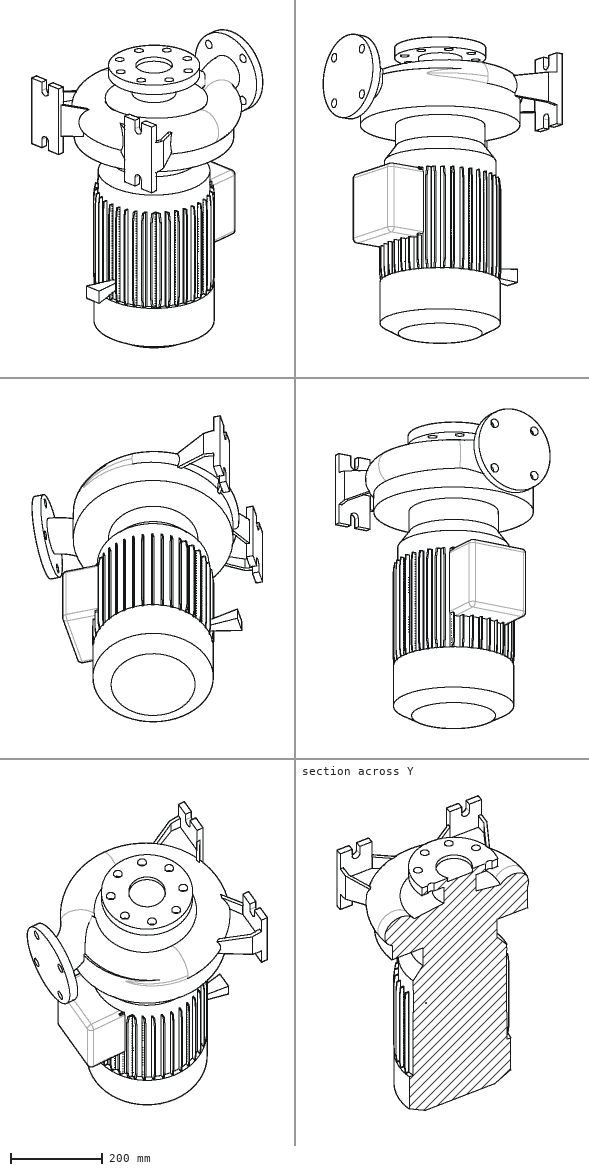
import cadquery as cq
import math


SUCTION_FACE_Z = 100.0
DISCHARGE_FACE_Y = 250.0
FOOT_FACE_Y = -200.0
MOTOR_BOTTOM_Z = -544.0

SUCTION_FLANGE_D = 200.0
SUCTION_FLANGE_T = 23.0
SUCTION_BOLT_CIRCLE_D = 160.0
SUCTION_BOLT_COUNT = 8
SUCTION_BORE_D = 80.0
SUCTION_BORE_DEPTH = 10.0
SUCTION_NECK_R = 48.0
BOLT_HOLE_D = 19.0

DISCHARGE_FLANGE_D = 185.0
DISCHARGE_FLANGE_T = 20.0
DISCHARGE_BOLT_CIRCLE_D = 145.0
DISCHARGE_BOLT_COUNT = 4

CASING_R = 175.0
CASING_BOTTOM_Z = -74.5
CASING_RIM_Z = 11.0
CONE_TOP_Z = 32.0

TUBE_R = 40.0
VOLUTE_CENTRE_X = 8.0
VOLUTE_R = 146.0
VOLUTE_END_ANGLE = 64.5

SPIRAL_START_ANGLE = 180.0
SPIRAL_END_ANGLE = 66.0
SPIRAL_END_TUBE_R = 32.5
SPIRAL_SECTIONS = 6

LANTERN_R = 98.0
LANTERN_BOTTOM_Z = -124.0
MOTOR_CORE_R = 122.5
SHOULDER_Z = -157.0
FIN_TOP_Z = -198.5
FIN_BOTTOM_Z = -428.5
FIN_R = 133.0
FIN_END_R = 130.5
FIN_TAPER_LENGTH = 23.0
FINS_PER_GROUP = 10
FIN_PITCH_ANGLE = 10.0
FIN_T = 2.5
COWL_R = 132.0
COWL_CHAMFER_R = 92.0
COWL_CHAMFER_Z = -521.5

BOX_HALF_WIDTH = 72.5
BOX_FACE_Y = 188.0
BOX_BOTTOM_Z = -354.0
BOX_INNER_Y = 90.0
BOX_EDGE_R = 10.0

LEVER_Z = -389.5
LEVER_TIP_Y = -196.0
LEVER_ROOT_Y = -118.0
LEVER_TIP_SIZE = (38.0, 30.0)
LEVER_ROOT_SIZE = (14.0, 15.5)

FOOT_PLATE_T = 15.0
FOOT_INNER_X = 99.0
FOOT_OUTER_X = 180.0
FOOT_HALF_HEIGHT = 80.0
FOOT_SLOT_W = 19.0
FOOT_SLOT_DEPTH = 30.0
BRACKET_HALF_HEIGHT = 37.0
BRACKET_TAPER = 0.16
BRACKET_BEND_Y = -162.0
BRACKET_OUTER_END = (144.5, -90.0)
BRACKET_INNER_START_Y = -192.0
BRACKET_INNER_END = (40.0, -156.0)
BRACKET_WALL_T = 8.0
BRACKET_WEB_T = 8.0


def polar(radius, angle):
    """Point at a radius and an angle in degrees."""
    return radius * math.cos(math.radians(angle)), radius * math.sin(math.radians(angle))


def revolve_profile(points):
    """Turn an (r, z) outline about the shaft axis."""
    return cq.Workplane("XZ").polyline(points).close().revolve(360, (0, 0, 0), (0, 1, 0))


def make_body():
    """Suction neck, casing disc, lantern, motor core and fan cowl as one turned body."""
    neck_top_z = SUCTION_FACE_Z - SUCTION_FLANGE_T
    return revolve_profile([
        (0, neck_top_z),
        (SUCTION_NECK_R, neck_top_z),
        (SUCTION_NECK_R, CONE_TOP_Z),
        (CASING_R, CASING_RIM_Z),
        (CASING_R, CASING_BOTTOM_Z),
        (LANTERN_R, CASING_BOTTOM_Z),
        (LANTERN_R, LANTERN_BOTTOM_Z),
        (MOTOR_CORE_R, SHOULDER_Z),
        (MOTOR_CORE_R, FIN_BOTTOM_Z),
        (COWL_R, FIN_BOTTOM_Z),
        (COWL_R, COWL_CHAMFER_Z),
        (COWL_CHAMFER_R, MOTOR_BOTTOM_Z),
        (0, MOTOR_BOTTOM_Z),
    ])


def make_flange(diameter, thickness, bolt_circle_d, bolt_count):
    """Flange with its face at z = 0; the bolt holes straddle the axes."""
    first_angle = 180.0 / bolt_count
    return (
        cq.Workplane("XY")
        .circle(diameter / 2)
        .extrude(-thickness)
        .faces(">Z").workplane(origin=(0, 0, 0))
        .polarArray(bolt_circle_d / 2, first_angle, 360, bolt_count)
        .hole(BOLT_HOLE_D)
    )


def make_suction_flange():
    flange = make_flange(SUCTION_FLANGE_D, SUCTION_FLANGE_T, SUCTION_BOLT_CIRCLE_D, SUCTION_BOLT_COUNT)
    bore = cq.Workplane("XY").circle(SUCTION_BORE_D / 2).extrude(-SUCTION_BORE_DEPTH)
    return flange.cut(bore).translate((0, 0, SUCTION_FACE_Z))


def make_discharge_flange():
    flange = make_flange(
        DISCHARGE_FLANGE_D, DISCHARGE_FLANGE_T, DISCHARGE_BOLT_CIRCLE_D, DISCHARGE_BOLT_COUNT
    )
    return flange.rotate((0, 0, 0), (1, 0, 0), -90).translate((0, DISCHARGE_FACE_Y, 0))


def make_volute():
    """Constant tube: half turn and more about the shaft, then a reverse bend to the discharge."""
    def on_volute(angle):
        x, y = polar(VOLUTE_R, angle)
        return VOLUTE_CENTRE_X + x, y

    bend_start = on_volute(VOLUTE_END_ANGLE)
    outward = polar(1.0, VOLUTE_END_ANGLE)
    bend_r = bend_start[0] / (1 - outward[0])
    bend_centre = (bend_r, bend_start[1] + bend_r * outward[1])
    bend_mid_x, bend_mid_y = polar(bend_r, 180 + VOLUTE_END_ANGLE / 2)
    bend_mid = (bend_centre[0] + bend_mid_x, bend_centre[1] + bend_mid_y)
    bend_end = (0, bend_centre[1])

    start = on_volute(180)
    path = (
        cq.Workplane("XY")
        .moveTo(*start)
        .threePointArc(on_volute(270), on_volute(360))
        .threePointArc(on_volute(VOLUTE_END_ANGLE / 2), bend_start)
        .threePointArc(bend_mid, bend_end)
    )
    tube = cq.Workplane("XZ", origin=(start[0], start[1], 0)).circle(TUBE_R).sweep(path)
    beyond_flange = cq.Workplane("XY").box(
        2 * CASING_R, CASING_R, 2 * CASING_R, centered=(True, False, True)
    ).translate((0, DISCHARGE_FACE_Y - DISCHARGE_FLANGE_T / 2, 0))
    return tube.cut(beyond_flange)


def make_spiral_start():
    """Tube that narrows from the volute section and dies out under the discharge bend."""
    centre_r = VOLUTE_R - VOLUTE_CENTRE_X
    sections = []
    for index in range(SPIRAL_SECTIONS):
        fraction = index / (SPIRAL_SECTIONS - 1)
        angle = SPIRAL_START_ANGLE + fraction * (SPIRAL_END_ANGLE - SPIRAL_START_ANGLE)
        tube_r = TUBE_R + fraction * (SPIRAL_END_TUBE_R - TUBE_R)
        centre = cq.Vector(*polar(centre_r, angle), 0)
        direction = cq.Vector(*polar(1.0, angle - 90), 0)
        sections.append(cq.Wire.makeCircle(tube_r, centre, direction))
    return cq.Workplane(cq.Solid.makeLoft(sections))


def make_fins():
    """Cooling fins in four groups, each group parallel to one of the +/-X and +/-Y directions."""
    envelope = revolve_profile([
        (0, FIN_TOP_Z),
        (FIN_END_R, FIN_TOP_Z),
        (FIN_R, FIN_TOP_Z - FIN_TAPER_LENGTH),
        (FIN_R, FIN_BOTTOM_Z + FIN_TAPER_LENGTH),
        (FIN_END_R, FIN_BOTTOM_Z),
        (0, FIN_BOTTOM_Z),
    ])
    half_group = FINS_PER_GROUP / 2
    offsets = [
        polar(MOTOR_CORE_R, (index + 0.5 - half_group) * FIN_PITCH_ANGLE)[1]
        for index in range(FINS_PER_GROUP)
    ]
    root_x = math.sqrt(MOTOR_CORE_R ** 2 - max(offsets) ** 2) - 2 * FIN_T
    slabs = (
        cq.Workplane("XY", origin=((root_x + FIN_R) / 2, 0, FIN_BOTTOM_Z))
        .pushPoints([(0, offset) for offset in offsets])
        .rect(FIN_R - root_x, FIN_T)
        .extrude(FIN_TOP_Z - FIN_BOTTOM_Z)
    )
    group = slabs.intersect(envelope)
    return [group.rotate((0, 0, 0), (0, 0, 1), 90 * quarter) for quarter in range(4)]


def make_terminal_box():
    return (
        cq.Workplane("XY")
        .box(
            2 * BOX_HALF_WIDTH,
            BOX_FACE_Y - BOX_INNER_Y,
            FIN_TOP_Z - BOX_BOTTOM_Z,
            centered=(True, False, False),
        )
        .translate((0, BOX_INNER_Y, BOX_BOTTOM_Z))
        .edges("|Y or >Y").fillet(BOX_EDGE_R)
    )


def make_lever():
    """Wedge that widens towards its outer end."""
    return (
        cq.Workplane("XZ", origin=(0, LEVER_ROOT_Y, LEVER_Z))
        .rect(*LEVER_ROOT_SIZE)
        .workplane(offset=LEVER_ROOT_Y - LEVER_TIP_Y)
        .rect(*LEVER_TIP_SIZE)
        .loft()
    )


def make_foot_plate():
    """Upright plate with an open slot at the top and at the bottom."""
    plate_back_y = FOOT_FACE_Y + FOOT_PLATE_T
    mid_x = (FOOT_INNER_X + FOOT_OUTER_X) / 2
    plate = (
        cq.Workplane("XZ", origin=(mid_x, plate_back_y, 0))
        .rect(FOOT_OUTER_X - FOOT_INNER_X, 2 * FOOT_HALF_HEIGHT)
        .extrude(FOOT_PLATE_T)
    )
    slots = (
        cq.Workplane("XZ", origin=(mid_x, plate_back_y, 0))
        .pushPoints([(0, FOOT_HALF_HEIGHT), (0, -FOOT_HALF_HEIGHT)])
        .slot2D(2 * FOOT_SLOT_DEPTH, FOOT_SLOT_W, 90)
        .extrude(FOOT_PLATE_T)
    )
    return plate.cut(slots)


def make_bracket():
    """Two splayed walls joined by a mid-height web, getting lower towards the casing."""
    plate_back_y = FOOT_FACE_Y + FOOT_PLATE_T
    outer_wall_line = [
        (FOOT_OUTER_X, plate_back_y),
        (FOOT_OUTER_X, BRACKET_BEND_Y),
        BRACKET_OUTER_END,
    ]
    outer_wall = outer_wall_line + [(x - BRACKET_WALL_T, y) for x, y in reversed(outer_wall_line)]
    inner_wall_line = [(FOOT_INNER_X, BRACKET_INNER_START_Y), BRACKET_INNER_END]
    inner_wall = inner_wall_line + [(x, y + BRACKET_WALL_T) for x, y in reversed(inner_wall_line)]
    web = outer_wall_line + [BRACKET_INNER_END, (FOOT_INNER_X, plate_back_y)]

    def prism(outline, height):
        return cq.Workplane("XY").polyline(outline).close().extrude(height / 2, both=True)

    def half_height(y):
        return BRACKET_HALF_HEIGHT - BRACKET_TAPER * (y - plate_back_y)

    side = (
        cq.Workplane("YZ")
        .polyline([
            (FOOT_FACE_Y, half_height(FOOT_FACE_Y)),
            (0, half_height(0)),
            (0, -half_height(0)),
            (FOOT_FACE_Y, -half_height(FOOT_FACE_Y)),
        ])
        .close()
        .extrude(FOOT_OUTER_X)
    )
    walls = prism(outer_wall, 2 * FOOT_HALF_HEIGHT).union(prism(inner_wall, 2 * FOOT_HALF_HEIGHT))
    return walls.intersect(side).union(prism(web, BRACKET_WEB_T))


def make_feet():
    foot = make_foot_plate().union(make_bracket())
    return foot.union(foot.mirror("YZ"))


motor = make_body()
for fin_group in make_fins():
    motor = motor.union(fin_group)

result = (
    motor
    .union(make_terminal_box())
    .union(make_lever())
    .union(make_volute())
    .union(make_spiral_start())
    .union(make_discharge_flange())
    .union(make_suction_flange())
    .union(make_feet())
)